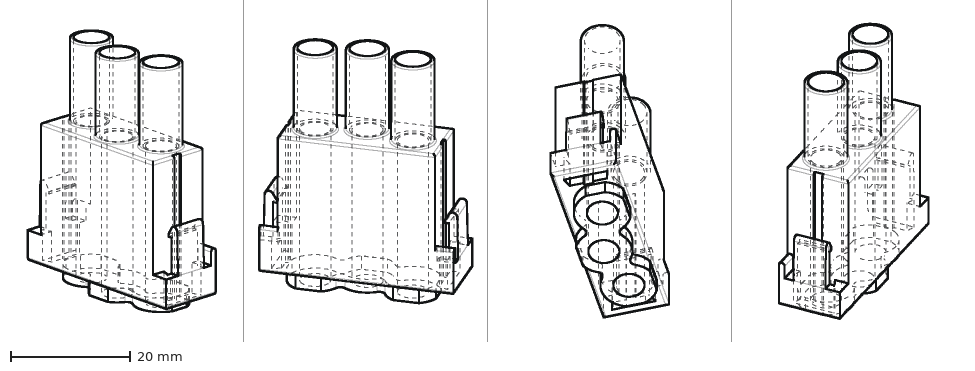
import cadquery as cq
import math

total_height = 42.9
boss_height = 2.5
flange_top = 7.95
housing_top = 27.93

flange_length = 34.0
housing_length = 27.55
width = 11.4
top_edge_radius = 0.47
bottom_edge_radius = 0.5

contact_pitch = 8.55
contact_stagger = 1.05
tube_diameter = 7.3
tube_root_radius = 0.3
tube_rim_radius = 0.3
socket_diameter = 6.0
bore_diameter = 5.25

boss_radius = 4.8
boss_row_length = 26.1
boss_row_width = 10.55
boss_valley_radius = 1.0

groove_width = 1.6
groove_depth = 0.45

latch_width = 5.95
latch_thickness = 1.65
latch_lean = 0.17
latch_top = 16.4
latch_crown_radius = 0.77
hook_reach = 0.75
hook_bottom = 14.35
hook_tip_height = 0.45

window_outer_width = 7.65
window_inner_width = 6.45

wall_thickness = 1.07
wall_top = 10.85

flange_end = flange_length / 2
housing_end = housing_length / 2
back = width / 2
latch_inner = flange_end - latch_thickness

contact_centers = [
    (-contact_pitch, contact_stagger),
    (0, -contact_stagger),
    (contact_pitch, contact_stagger),
]


def block(length, depth, bottom, top):
    """Box centred on the Z axis between two levels."""
    return cq.Workplane("XY").workplane(offset=bottom).rect(length, depth).extrude(top - bottom)


def cylinders(diameter, bottom, top):
    """One upright cylinder at each contact position."""
    joined = cq.Workplane("XY")
    for x, y in contact_centers:
        plane = cq.Workplane("XY", origin=(x, y, bottom))
        joined = joined.add(plane.circle(diameter / 2).extrude(top - bottom))
    return joined.combine()


def both_ends(solid):
    """The right-hand solid together with its mirror image on the left."""
    return solid.union(solid.mirror("YZ"))


def base_flange():
    flange = block(flange_length, width, boss_height, flange_top)
    return flange.faces("<Z").edges().fillet(bottom_edge_radius)


def housing():
    body = block(housing_length, width, flange_top, housing_top)
    return body.faces(">Z").edges().fillet(top_edge_radius)


def boss_row():
    bosses = cylinders(2 * boss_radius, 0, boss_height)
    valleys = cq.selectors.BoxSelector(
        (-contact_pitch, -boss_radius, 0), (contact_pitch, boss_radius, boss_height)
    )
    bosses = bosses.edges("|Z").edges(valleys).fillet(boss_valley_radius)
    return bosses.intersect(block(boss_row_length, boss_row_width, 0, boss_height))


def tubes():
    posts = cylinders(tube_diameter, housing_top, total_height)
    return posts.faces(">Z").edges().fillet(tube_rim_radius)


def latch():
    hook_x = latch_inner - hook_reach
    hook_z = hook_bottom + hook_tip_height
    crown_x = flange_end - latch_lean - latch_crown_radius
    crown_z = latch_top - latch_crown_radius

    crown_distance = math.hypot(crown_x - hook_x, crown_z - hook_z)
    slope_length = math.sqrt(crown_distance**2 - latch_crown_radius**2)
    crown_direction = math.atan2(crown_z - hook_z, crown_x - hook_x)
    slope_angle = crown_direction + math.asin(latch_crown_radius / crown_distance)
    slope_end = (
        hook_x + slope_length * math.cos(slope_angle),
        hook_z + slope_length * math.sin(slope_angle),
    )

    profile = (
        cq.Workplane("XZ", origin=(0, latch_width / 2, 0))
        .moveTo(latch_inner, flange_top)
        .lineTo(flange_end, flange_top)
        .lineTo(crown_x + latch_crown_radius, crown_z)
        .threePointArc((crown_x, latch_top), slope_end)
        .lineTo(hook_x, hook_z)
        .lineTo(hook_x, hook_bottom)
        .lineTo(latch_inner, hook_bottom)
        .close()
    )
    return profile.extrude(latch_width)


def back_wall():
    round_start = wall_top - wall_thickness / 2
    profile = (
        cq.Workplane("YZ", origin=(housing_end, 0, 0))
        .moveTo(back, flange_top)
        .lineTo(back, round_start)
        .threePointArc((back - wall_thickness / 2, wall_top), (back - wall_thickness, round_start))
        .lineTo(back - wall_thickness, flange_top)
        .close()
    )
    return profile.extrude(flange_end - housing_end)


def window():
    outline = [
        (latch_inner, -window_outer_width / 2),
        (latch_inner, window_outer_width / 2),
        (housing_end, window_inner_width / 2),
        (housing_end, -window_inner_width / 2),
    ]
    return cq.Workplane("XY").polyline(outline).close().extrude(flange_top)


def groove():
    plane = cq.Workplane("XY").center(housing_end, 0)
    return plane.rect(2 * groove_depth, groove_width).extrude(housing_top)


result = base_flange().union(housing()).union(both_ends(back_wall()))
result = result.union(boss_row()).union(tubes())

level_margin = 0.05
tube_roots = cq.selectors.BoxSelector(
    (-housing_end, -back, housing_top - level_margin),
    (housing_end, back, housing_top + level_margin),
    boundingbox=True,
)
result = result.edges("%CIRCLE").edges(tube_roots).fillet(tube_root_radius)

result = result.cut(both_ends(window())).cut(both_ends(groove()))
result = result.union(both_ends(latch()))

result = result.cut(cylinders(bore_diameter, 0, total_height))
result = result.cut(cylinders(socket_diameter, housing_top, total_height))